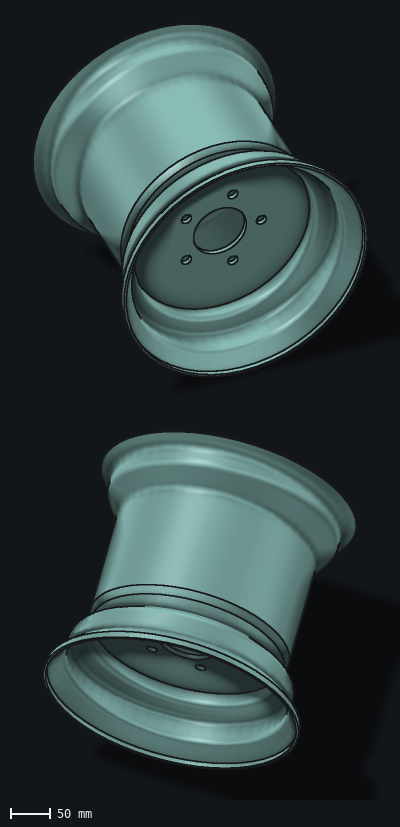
import cadquery as cq
import math

WIDTH = 305.0
RIM_RADIUS = 168.3
WALL = 3.5

LEFT_SEAT_RADIUS = 151.8
BARREL_RADIUS = 131.5
GROOVE_RADIUS = 127.0
RIGHT_SEAT_RADIUS = 149.0

LEFT_SEAT_END_X = 35.0
BARREL_START_X = 64.3
BARREL_END_X = 206.3
GROOVE_START_X = 217.0
GROOVE_END_X = 235.2
RIGHT_SEAT_START_X = 248.0
RIGHT_SEAT_END_X = 278.0
RIGHT_RIM_START_X = 296.5

LEFT_BEND = 19.0
RIGHT_BEND = 11.8

LIP_START_X = 1.7
LIP_END_X = 12.0
LIP_OVERRUN = 6.7

DISC_X = 212.7
DISC_THICKNESS = 6.7
HUB_HOLE_RADIUS = 36.5
BOLT_HOLE_RADIUS = 6.7
BOLT_CIRCLE_RADIUS = 57.2
BOLT_COUNT = 5

lip_drop = RIM_RADIUS - LEFT_SEAT_RADIUS
lip_extension = LIP_OVERRUN * (LIP_END_X - LIP_START_X) / lip_drop

OUTER_CORNERS = [
    (LIP_START_X - lip_extension, RIM_RADIUS + LIP_OVERRUN, 0),
    (LIP_END_X, LEFT_SEAT_RADIUS, LEFT_BEND),
    (LEFT_SEAT_END_X, LEFT_SEAT_RADIUS, LEFT_BEND),
    (BARREL_START_X, BARREL_RADIUS, LEFT_BEND),
    (BARREL_END_X, BARREL_RADIUS, 0),
    (GROOVE_START_X, GROOVE_RADIUS, 0),
    (GROOVE_END_X, GROOVE_RADIUS, RIGHT_BEND),
    (RIGHT_SEAT_START_X, RIGHT_SEAT_RADIUS, RIGHT_BEND),
    (RIGHT_SEAT_END_X, RIGHT_SEAT_RADIUS, RIGHT_BEND),
    (RIGHT_RIM_START_X, RIM_RADIUS, 0),
    (WIDTH, RIM_RADIUS, 0),
]


def direction(start, end):
    """Unit vector from one corner to the next."""
    step = cq.Vector(end[0] - start[0], end[1] - start[1])
    return step.normalized()


def directions_at(corners, index):
    """Directions into and out of a corner; they are equal at the two ends."""
    last = len(corners) - 1
    into = direction(corners[max(index, 1) - 1], corners[max(index, 1)])
    out = direction(corners[min(index, last - 1)], corners[min(index, last - 1) + 1])
    return into, out


def offset_inward(corners, distance):
    """Move every corner toward the axis by the wall thickness, keeping its bend radius."""
    moved = []
    for index, (x, radius, bend) in enumerate(corners):
        into, out = directions_at(corners, index)
        normal_sum = cq.Vector(into.y + out.y, -into.x - out.x)
        shift = normal_sum * (distance / (1 + into.dot(out)))
        moved.append((x + shift.x, radius + shift.y, bend))
    return moved


def trace(profile, corners):
    """Continue a profile from the first corner to the last, with a tangent arc at each bend."""
    for index, (x, radius, bend) in enumerate(corners[1:], start=1):
        corner = cq.Vector(x, radius)
        if bend:
            into, out = directions_at(corners, index)
            half_turn = into.getAngle(out) / 2
            setback = bend * math.tan(half_turn)
            sagitta_gap = bend / math.cos(half_turn) - bend
            middle = corner + (out - into).normalized() * sagitta_gap
            arc_start = corner - into * setback
            arc_end = corner + out * setback
            profile = profile.lineTo(arc_start.x, arc_start.y)
            profile = profile.threePointArc((middle.x, middle.y), (arc_end.x, arc_end.y))
        else:
            profile = profile.lineTo(x, radius)
    return profile


def x_cylinder(start_x, length, radius):
    return cq.Workplane("YZ").workplane(offset=start_x).circle(radius).extrude(length)


def make_rim():
    return_corners = offset_inward(OUTER_CORNERS, WALL)[::-1]
    outer_start_x, outer_start_radius, _ = OUTER_CORNERS[0]
    inner_start_x, inner_start_radius, _ = return_corners[0]
    profile = cq.Workplane("XY").moveTo(outer_start_x, outer_start_radius)
    profile = trace(profile, OUTER_CORNERS)
    profile = profile.lineTo(inner_start_x, inner_start_radius)
    profile = trace(profile, return_corners)
    rim = profile.close().revolve(360, (0, 0, 0), (1, 0, 0))
    return rim.intersect(x_cylinder(0, WIDTH, RIM_RADIUS))


def make_disc():
    disc_radius = GROOVE_RADIUS - WALL / 2
    disc = x_cylinder(DISC_X, DISC_THICKNESS, disc_radius)
    disc = disc.cut(x_cylinder(DISC_X, DISC_THICKNESS, HUB_HOLE_RADIUS))
    bolt_holes = (
        cq.Workplane("YZ")
        .workplane(offset=DISC_X)
        .polarArray(BOLT_CIRCLE_RADIUS, 0, 360, BOLT_COUNT)
        .circle(BOLT_HOLE_RADIUS)
        .extrude(DISC_THICKNESS)
    )
    return disc.cut(bolt_holes)


result = make_rim().union(make_disc())